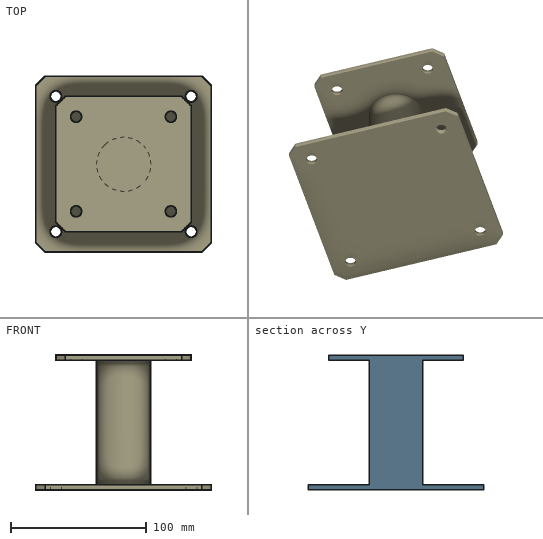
import cadquery as cq

base_side = 130.0
top_side = 100.0
plate_thickness = 4.0
corner_cut = 7.0

total_height = 100.0
column_diameter = 40.0

hole_diameter = 8.0
base_hole_spacing = 100.0
top_hole_spacing = 70.0


def mounting_plate(side, hole_spacing, bottom_z):
    """Square plate with cut corners and four through holes."""
    return (
        cq.Workplane("XY", origin=(0, 0, bottom_z))
        .rect(side, side)
        .extrude(plate_thickness)
        .edges("|Z")
        .chamfer(corner_cut)
        .faces(">Z")
        .workplane()
        .rect(hole_spacing, hole_spacing, forConstruction=True)
        .vertices()
        .hole(hole_diameter)
    )


top_plate_z = total_height - plate_thickness

base_plate = mounting_plate(base_side, base_hole_spacing, 0)
top_plate = mounting_plate(top_side, top_hole_spacing, top_plate_z)

column = (
    cq.Workplane("XY", origin=(0, 0, plate_thickness))
    .circle(column_diameter / 2)
    .extrude(top_plate_z - plate_thickness)
)

result = base_plate.union(column).union(top_plate)